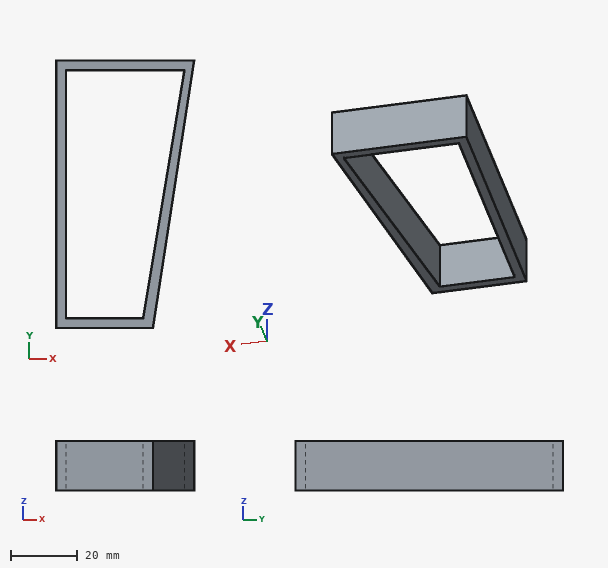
import cadquery as cq

back_width = 41.5
front_width = 29.1
length = 80.5
height = 15.0
wall = 3.0


def tapered_block(x_min, y_min, front, back, depth):
    """Upright block with a straight left side and a right side slanting from front to back width."""
    outline = [
        (x_min, y_min),
        (x_min + front, y_min),
        (x_min + back, y_min + depth),
        (x_min, y_min + depth),
    ]
    return cq.Workplane("XY").polyline(outline).close().extrude(height)


outer_block = tapered_block(0, 0, front_width, back_width, length)

opening = tapered_block(
    wall,
    wall,
    front_width - 2 * wall,
    back_width - 2 * wall,
    length - 2 * wall,
)

result = outer_block.cut(opening)